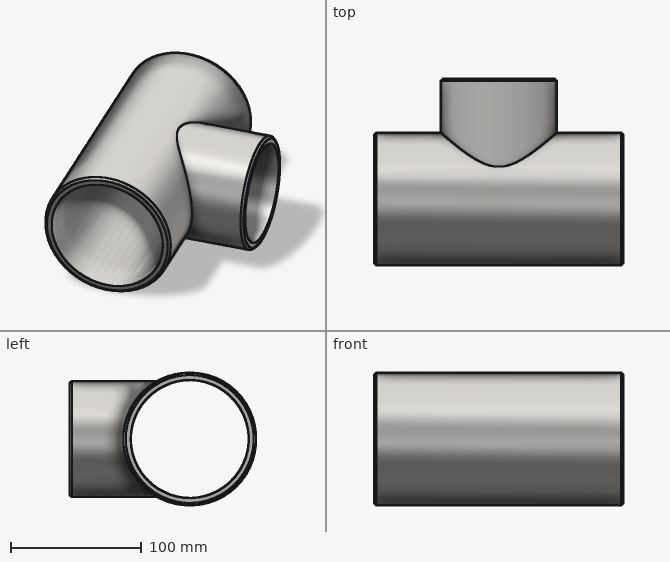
import cadquery as cq

run_length = 190.5
run_diameter = 101.5
run_bore = 90.0
wall = (run_diameter - run_bore) / 2

branch_diameter = 88.8
branch_bore = branch_diameter - 2 * wall
overall_depth = 142.7
branch_reach = overall_depth - run_diameter / 2

bevel = 2.0


def run_cylinder(diameter):
    """Cylinder along X, centred on the origin."""
    return cq.Workplane("YZ").circle(diameter / 2).extrude(run_length / 2, both=True)


def branch_cylinder(diameter):
    """Cylinder from the run axis out to the branch end at +Y."""
    return cq.Workplane("XZ").circle(diameter / 2).extrude(-branch_reach)


run = run_cylinder(run_diameter).faces("<X or >X").edges().chamfer(bevel)
branch = branch_cylinder(branch_diameter).faces(">Y").edges().chamfer(bevel)

body = run.union(branch)
result = body.cut(run_cylinder(run_bore)).cut(branch_cylinder(branch_bore))